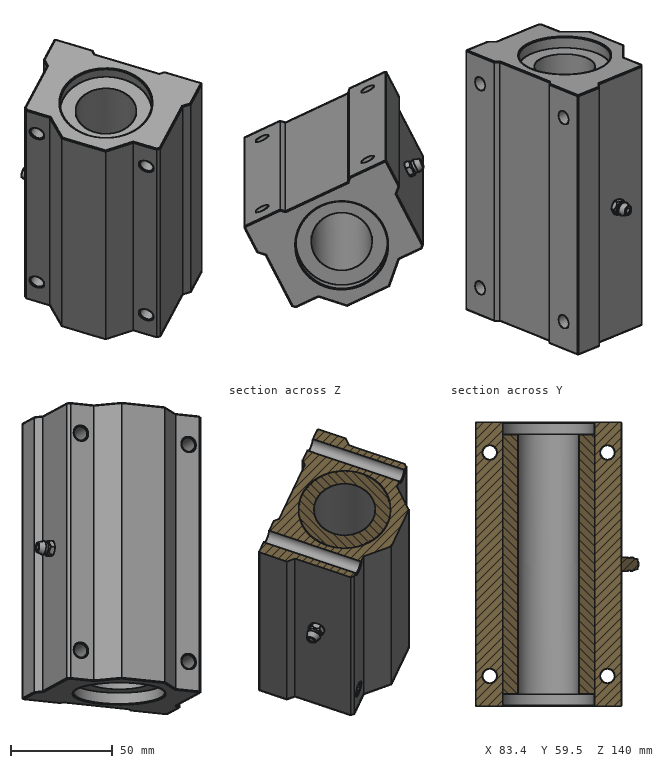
import cadquery as cq
import math

LENGTH = 140.0

FLANGE_HALF_WIDTH = 39.0
BODY_HALF_WIDTH = 36.0
KEEL_HALF_WIDTH = 11.6
MOUNT_FACE_Y = 30.0
SHELF_Y = -19.0
KEEL_Y = -29.5
FLANGE_THICKNESS = 15.0
RELIEF_HALF_WIDTH = 17.1
RELIEF_DEPTH = 2.0
CORNER_CHAMFER = 1.4
EDGE_CHAMFER = 0.5

SLEEVE_DIAMETER = 45.1
SHAFT_DIAMETER = 30.0
SLEEVE_RECESS = 6.0

HOLE_DIAMETER = 7.0
HOLE_SPACING_X = 58.0
HOLE_SPACING_Z = 110.0

HEX_ACROSS_FLATS = 7.0
HEX_LENGTH = 3.4
HEX_END_RADIUS = 3.1
HEX_END_CHAMFER = 1.1
HEX_BASE_RADIUS = 3.4
HEX_BASE_CHAMFER = 0.4
HEAD_BACK_RADIUS = 3.0
HEAD_WIDEST = 4.9
HEAD_RADIUS = 3.5
NOSE_RADIUS = 2.4
BALL_EDGE_RADIUS = 1.4
BALL_HEIGHT = 0.4
NIPPLE_LENGTH = 8.4


def mirrored_outline(right_side):
    """Close the +X half of an outline, listed from top to bottom, with its mirror image."""
    left_side = [(-x, y) for x, y in reversed(right_side)]
    return cq.Workplane("XY").polyline(right_side + left_side).close()


def housing_block():
    flange_y = MOUNT_FACE_Y - FLANGE_THICKNESS
    flange_step = FLANGE_HALF_WIDTH - BODY_HALF_WIDTH
    keel_height = SHELF_Y - KEEL_Y
    right_side = [
        (RELIEF_HALF_WIDTH, MOUNT_FACE_Y - RELIEF_DEPTH),
        (RELIEF_HALF_WIDTH + RELIEF_DEPTH, MOUNT_FACE_Y),
        (FLANGE_HALF_WIDTH - EDGE_CHAMFER, MOUNT_FACE_Y),
        (FLANGE_HALF_WIDTH, MOUNT_FACE_Y - EDGE_CHAMFER),
        (FLANGE_HALF_WIDTH, flange_y),
        (BODY_HALF_WIDTH, flange_y - flange_step),
        (BODY_HALF_WIDTH, SHELF_Y + CORNER_CHAMFER),
        (BODY_HALF_WIDTH - CORNER_CHAMFER, SHELF_Y),
        (KEEL_HALF_WIDTH + keel_height, SHELF_Y),
        (KEEL_HALF_WIDTH, KEEL_Y),
    ]
    block = mirrored_outline(right_side).extrude(LENGTH / 2, both=True)
    return block.faces("|Z").chamfer(EDGE_CHAMFER)


def sleeve_seat():
    """Through bore for the sleeve, flared at both ends by the edge chamfer."""
    radius = SLEEVE_DIAMETER / 2
    seat = cq.Workplane("XY").circle(radius).extrude(LENGTH / 2, both=True)
    for end in (1, -1):
        flare = cq.Solid.makeCone(
            radius + EDGE_CHAMFER,
            radius,
            EDGE_CHAMFER,
            pnt=cq.Vector(0, 0, end * LENGTH / 2),
            dir=cq.Vector(0, 0, -end),
        )
        seat = seat.union(cq.Workplane(flare))
    return seat


def mounting_hole(x, z):
    """Hole along Y from the shelf to the mounting face, flared at the shelf."""
    radius = HOLE_DIAMETER / 2
    start = cq.Vector(x, SHELF_Y, z)
    along_y = cq.Vector(0, 1, 0)
    hole = cq.Solid.makeCylinder(radius, MOUNT_FACE_Y - SHELF_Y, start, along_y)
    flare = cq.Solid.makeCone(radius + EDGE_CHAMFER, radius, EDGE_CHAMFER, start, along_y)
    return cq.Workplane(hole).union(cq.Workplane(flare))


def make_housing():
    housing = housing_block().cut(sleeve_seat())
    for x in (-HOLE_SPACING_X / 2, HOLE_SPACING_X / 2):
        for z in (-HOLE_SPACING_Z / 2, HOLE_SPACING_Z / 2):
            housing = housing.cut(mounting_hole(x, z))
    return housing


def make_sleeve():
    half_length = LENGTH / 2 - SLEEVE_RECESS
    return (
        cq.Workplane("XY")
        .circle(SLEEVE_DIAMETER / 2)
        .circle(SHAFT_DIAMETER / 2)
        .extrude(half_length, both=True)
    )


def turned_about_nipple_axis(outline):
    """Revolve a closed outline, drawn as radius over distance from the housing side, about the axis."""
    return outline.close().revolve(360, (0, 0, 0), (1, 0, 0))


def nipple_sketch():
    """Sketch plane whose X runs outwards along the nipple axis and whose Y is the radius."""
    return cq.Workplane(cq.Plane(origin=(-BODY_HALF_WIDTH, 0, 0), xDir=(-1, 0, 0), normal=(0, 0, 1)))


def nipple_hexagon():
    """Hexagon with flats facing up and down and conical chamfers at both ends."""
    corner_radius = HEX_ACROSS_FLATS / 2 / math.cos(math.radians(30))
    hexagon = (
        cq.Workplane("YZ", origin=(-BODY_HALF_WIDTH, 0, 0))
        .polygon(6, 2 * corner_radius)
        .extrude(-HEX_LENGTH)
    )
    chamfer_envelope = turned_about_nipple_axis(nipple_sketch().polyline([
        (0, 0),
        (0, HEX_BASE_RADIUS),
        (HEX_BASE_CHAMFER, corner_radius),
        (HEX_LENGTH - HEX_END_CHAMFER, corner_radius),
        (HEX_LENGTH, HEX_END_RADIUS),
        (HEX_LENGTH, 0),
    ]))
    return hexagon.intersect(chamfer_envelope)


def nipple_head():
    """Head tapering both ways from its widest ring, ending in a flat nose with a shallow ball."""
    nose = NIPPLE_LENGTH - BALL_HEIGHT
    ball_radius = (BALL_EDGE_RADIUS**2 + BALL_HEIGHT**2) / (2 * BALL_HEIGHT)
    outline = (
        nipple_sketch()
        .polyline([
            (HEX_LENGTH, 0),
            (HEX_LENGTH, HEAD_BACK_RADIUS),
            (HEAD_WIDEST, HEAD_RADIUS),
            (nose, NOSE_RADIUS),
            (nose, BALL_EDGE_RADIUS),
        ])
        .radiusArc((NIPPLE_LENGTH, 0), ball_radius)
    )
    return turned_about_nipple_axis(outline)


def make_nipple():
    return nipple_hexagon().union(nipple_head())


housing = make_housing()
sleeve = make_sleeve()
nipple = make_nipple()

result = cq.Compound.makeCompound([housing.val(), sleeve.val(), nipple.val()])